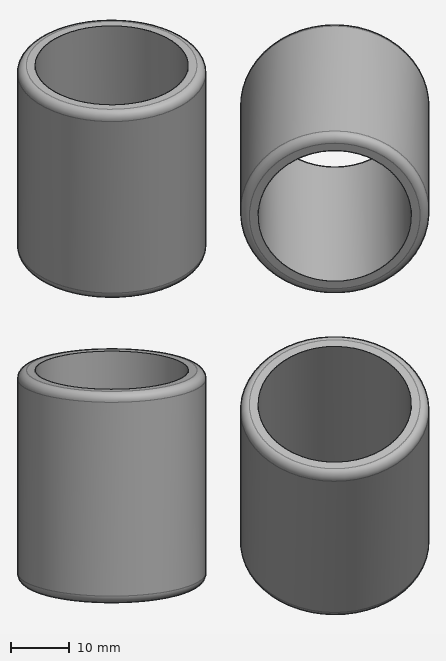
import cadquery as cq

height = 37.0
outer_diameter = 32.0
bore_diameter = 26.0
rim_radius = 1.5

body = cq.Workplane("XY").circle(outer_diameter / 2).extrude(height)
body = body.edges("%CIRCLE").fillet(rim_radius)

result = body.faces(">Z").workplane().hole(bore_diameter)